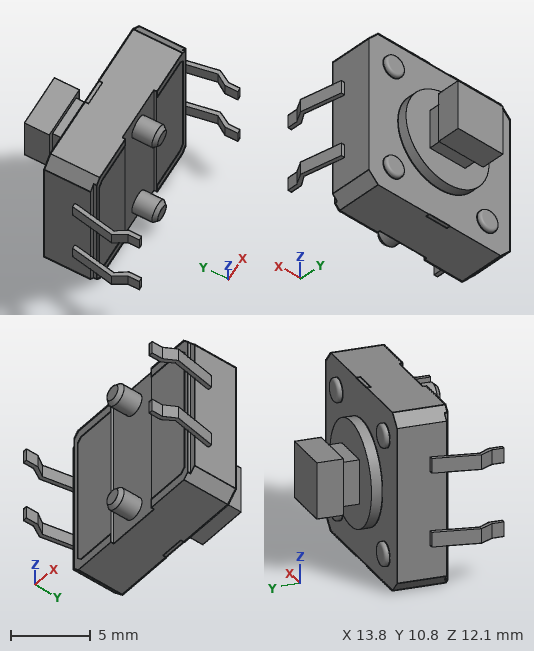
import cadquery as cq
import math


sheet = 0.05
cover_width = 12.1
cover_height = 3.6
corner_chamfer = 0.8
window_width = 10.6
window_chamfer = 0.33
notch_width = 1.77
notch_depth = 0.29

base_width = cover_width - 2 * sheet
base_top = cover_height - sheet
base_chamfer = corner_chamfer - (2 - math.sqrt(2)) * sheet
relief_depth = 0.25
channel_width = 4.0
ledge_spacing = 11.26

post_diameter = 1.6
pin_offset = 4.5
pin_tip = -1.48
pin_chamfer_length = 0.29
pin_chamfer_width = 0.25
rivet_offset = 4.0
rivet_top = 3.92
rivet_fillet = 0.2

collar_diameter = 7.1
collar_top = 4.32
neck_width = 3.0
neck_top = 5.55
knob_width = 3.81
knob_top = 7.34

lead_span = 13.8
lead_width = 1.0
lead_thickness = 0.3
lead_offset = 2.5
lead_top = 1.37
lead_top_thickness = 0.28
lead_contact_length = 0.15
lead_bend = -1.75
lead_foot_top = -2.65
lead_foot_inner_rise = 0.11
lead_tip = -3.46
lead_foot_outer = 6.39


def slab(width, depth, y_start, y_end):
    """Block of the given X width and Z depth between two Y levels."""
    centre_y = (y_start + y_end) / 2
    return cq.Workplane("XY").box(width, y_end - y_start, depth).translate((0, centre_y, 0))


def octagon(width, chamfer, y_start, y_end):
    """Square block with its four long corners cut at 45 degrees."""
    return slab(width, width, y_start, y_end).edges("|Y").chamfer(chamfer)


def post(diameter, y_start, y_end):
    """Round post on the Y axis."""
    return cq.Workplane("XZ", origin=(0, y_end, 0)).circle(diameter / 2).extrude(y_end - y_start)


def reliefs(depth):
    """Central channel and the two side ledges cut into the underside."""
    cut = slab(channel_width, cover_width, 0, depth)
    ledge_width = (cover_width - ledge_spacing) / 2
    ledge_x = (cover_width + ledge_spacing) / 4
    for side in (-1, 1):
        cut = cut.add(slab(ledge_width, cover_width, 0, depth).translate((side * ledge_x, 0, 0)))
    return cut.combine()


def rivet_places():
    """Shifts from the Y axis to the four rivet heads."""
    return [(x * rivet_offset, 0, z * rivet_offset) for x in (-1, 1) for z in (-1, 1)]


def make_cover():
    """Sheet shell with a window below, openings for the collar and rivets, and two edge notches."""
    cover = octagon(cover_width, corner_chamfer, 0, cover_height)
    cover = cover.cut(octagon(base_width, base_chamfer, sheet, base_top))
    cover = cover.cut(octagon(window_width, window_chamfer, 0, sheet))
    cover = cover.cut(reliefs(relief_depth))
    cover = cover.cut(post(collar_diameter, base_top, cover_height))
    for place in rivet_places():
        cover = cover.cut(post(post_diameter, base_top, cover_height).translate(place))
    notch = slab(notch_width, sheet, cover_height - notch_depth, cover_height)
    for side in (-1, 1):
        cover = cover.cut(notch.translate((0, 0, side * (cover_width - sheet) / 2)))
    return cover


def make_base():
    """Block filling the cover, with two locating pins below and four rivet heads on top."""
    base = octagon(base_width, base_chamfer, sheet, base_top).cut(reliefs(relief_depth))
    pin = post(post_diameter, pin_tip, relief_depth)
    pin = pin.faces("<Y").chamfer(pin_chamfer_length, pin_chamfer_width)
    for side in (-1, 1):
        base = base.union(pin.translate((0, 0, side * pin_offset)))
    rivet = post(post_diameter, base_top, rivet_top).faces(">Y").edges().fillet(rivet_fillet)
    for place in rivet_places():
        base = base.union(rivet.translate(place))
    return base


def make_plunger():
    """Round collar standing on the base, carrying a square neck and knob."""
    plunger = post(collar_diameter, base_top, collar_top)
    plunger = plunger.union(slab(neck_width, neck_width, collar_top, neck_top))
    return plunger.union(slab(knob_width, knob_width, neck_top, knob_top))


def make_lead(side, z):
    """Bent strip lying against the +X or -X side of the cover."""
    wall = cover_width / 2
    bend = lead_span / 2
    profile = [
        (wall, lead_top),
        (wall + lead_top_thickness, lead_top),
        (bend, lead_bend),
        (lead_foot_outer, lead_foot_top),
        (lead_foot_outer, lead_tip),
        (lead_foot_outer - lead_thickness, lead_tip),
        (lead_foot_outer - lead_thickness, lead_foot_top + lead_foot_inner_rise),
        (bend - lead_thickness, lead_bend),
        (wall, lead_top - lead_contact_length),
    ]
    points = [(side * x, y) for x, y in profile]
    strip = cq.Workplane("XY").polyline(points).close().extrude(lead_width / 2, both=True)
    return strip.translate((0, 0, z))


cover = make_cover()
base = make_base()
plunger = make_plunger()
leads = [make_lead(side, z) for side in (-1, 1) for z in (-lead_offset, lead_offset)]

bodies = [cover, base, plunger, *leads]
result = cq.Compound.makeCompound([body.solids().val() for body in bodies])